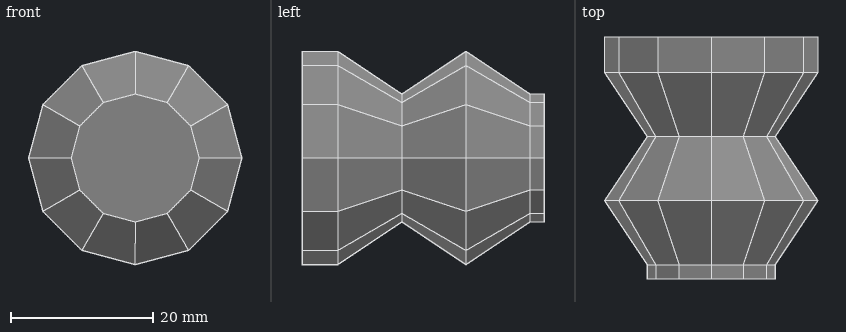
import cadquery as cq

length = 34.0
wide_diameter = 30.0
narrow_diameter = 18.0
side_count = 12

base_length = 5.0
tip_length = 2.0
taper_count = 3
taper_length = (length - base_length - tip_length) / taper_count


def prism(diameter, height, start):
    """Straight twelve-sided section growing towards -Y from the given distance."""
    return axis_plane(start).polygon(side_count, diameter).extrude(height)


def taper(start_diameter, end_diameter, start):
    """Flat-faceted section joining two twelve-sided outlines."""
    return (
        axis_plane(start)
        .polygon(side_count, start_diameter)
        .workplane(offset=taper_length)
        .polygon(side_count, end_diameter)
        .loft(ruled=True)
    )


def axis_plane(distance):
    """Plane facing -Y, at a distance from the base face."""
    return cq.Workplane("XZ").workplane(offset=distance)


result = prism(wide_diameter, base_length, 0)

taper_diameters = [wide_diameter, narrow_diameter, wide_diameter, narrow_diameter]
for index in range(taper_count):
    start = base_length + index * taper_length
    section = taper(taper_diameters[index], taper_diameters[index + 1], start)
    result = result.union(section)

result = result.union(prism(narrow_diameter, tip_length, length - tip_length))